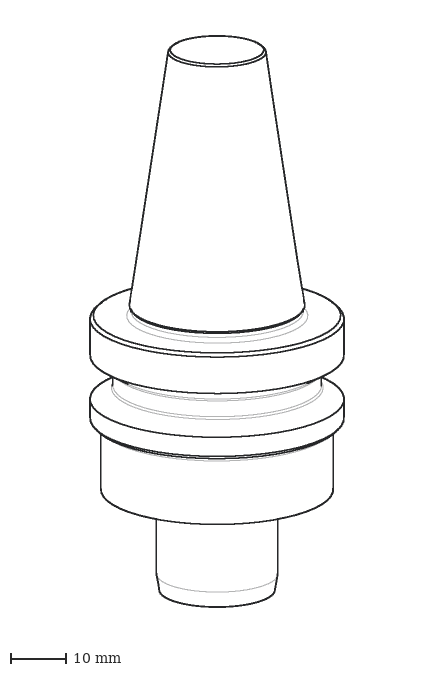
import cadquery as cq

total_height = 102.4
gauge_height = 54.0
flange_top = 52.0
flange_bottom = 32.0
groove_middle = 40.3
body_bottom = 19.0

flange_diameter = 46.0
groove_diameter = 37.8
body_diameter = 42.1
pilot_diameter = 22.0
taper_diameter = 31.7
neck_diameter = 31.1

taper_ratio = 7 / 24
groove_mouth = 8.3
groove_floor = 3.6
groove_fillet = 0.5

flange_chamfer = 0.6
top_chamfer = 0.4
neck_step = 0.4
root_fillet = 0.8
pilot_lead_height = 3.1
pilot_lead_width = 0.5

flange_radius = flange_diameter / 2
chamfer_radius = flange_radius - flange_chamfer
body_radius = body_diameter / 2
pilot_radius = pilot_diameter / 2
neck_radius = neck_diameter / 2
taper_radius = taper_diameter / 2


def taper_radius_at(height):
    """Radius of the tapered shank at the given height."""
    return taper_radius - (height - gauge_height) * taper_ratio / 2


def make_blank():
    """Revolve the pilot, body, flange, neck and taper about Z."""
    chamfer_start = total_height - top_chamfer
    top_radius = taper_radius_at(chamfer_start) - top_chamfer
    profile = (
        cq.Workplane("XZ")
        .moveTo(0, 0)
        .lineTo(pilot_radius - pilot_lead_width, 0)
        .lineTo(pilot_radius, pilot_lead_height)
        .lineTo(pilot_radius, body_bottom)
        .lineTo(body_radius, body_bottom)
        .lineTo(body_radius, flange_bottom - root_fillet)
        .radiusArc((body_radius + root_fillet, flange_bottom), root_fillet)
        .lineTo(chamfer_radius, flange_bottom)
        .lineTo(flange_radius, flange_bottom + flange_chamfer)
        .lineTo(flange_radius, flange_top - flange_chamfer)
        .lineTo(chamfer_radius, flange_top)
        .lineTo(neck_radius + root_fillet, flange_top)
        .radiusArc((neck_radius, flange_top + root_fillet), root_fillet)
        .lineTo(neck_radius, gauge_height - neck_step)
        .lineTo(taper_radius, gauge_height)
        .lineTo(taper_radius_at(chamfer_start), chamfer_start)
        .lineTo(top_radius, total_height)
        .lineTo(0, total_height)
        .close()
    )
    return profile.revolve(360, (0, 0, 0), (0, 1, 0))


def make_groove():
    """Ring that cuts the trapezoidal gripper groove."""
    groove_radius = groove_diameter / 2
    half_mouth = groove_mouth / 2
    half_floor = groove_floor / 2
    profile = (
        cq.Workplane("XZ")
        .moveTo(flange_radius, groove_middle - half_mouth)
        .lineTo(groove_radius, groove_middle - half_floor)
        .lineTo(groove_radius, groove_middle + half_floor)
        .lineTo(flange_radius, groove_middle + half_mouth)
        .close()
    )
    ring = profile.revolve(360, (0, 0, 0), (0, 1, 0))
    floor_corners = cq.selectors.RadiusNthSelector(0)
    return ring.edges("%CIRCLE").edges(floor_corners).fillet(groove_fillet)


result = make_blank().cut(make_groove())